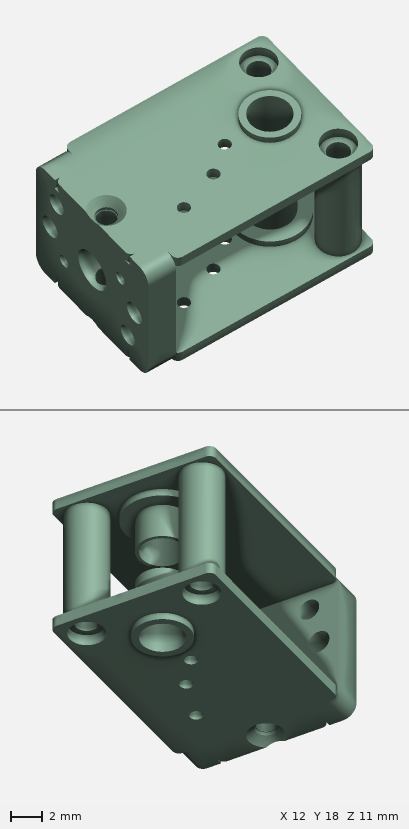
import cadquery as cq

length = 18.0
width = 12.0
height_over_collars = 11.0
plate_span = 10.0
plate_thickness = 0.8
corner_radius = 0.5

block_depth = 2.2
block_corner_radius = 1.0
tongue_width = 8.0

bore_diameter = 3.0
side_hole_diameter = 1.6
side_hole_x = 4.5
mount_hole_diameter = 1.5
mount_hole_x = 3.8
mount_hole_z = 2.8
dowel_hole_diameter = 0.9
dowel_hole_x = 3.0
dowel_hole_z = 1.96

screw_from_front = 1.12
plate_screw_diameter = 1.5
block_screw_diameter = 1.4
countersink_diameter = 2.6
countersink_angle = 90.0

pillar_diameter = 3.0
pillar_hole_diameter = 1.6
counterbore_diameter = 2.5
counterbore_depth = plate_thickness
pillar_x = 4.25
pillar_from_rear = 1.7

bushing_from_rear = 3.96
bushing_bore = 3.0
collar_diameter = 4.0
collar_height = (height_over_collars - plate_span) / 2
flange_diameter = 5.5
flange_thickness = 0.5
sleeve_diameter = 3.5
sleeve_gap = 2.5

axle_hole_diameter = 0.9
axle_holes = [(0, 7.52), (1.58, 9.6), (2.74, 12.78)]

front_y = -length / 2
rear_y = length / 2
block_rear_y = front_y + block_depth
top_z = plate_span / 2
inner_z = top_z - plate_thickness
screw_y = front_y + screw_from_front
bushing_y = rear_y - bushing_from_rear
pillar_y = rear_y - pillar_from_rear
pillar_points = [(-pillar_x, pillar_y), (pillar_x, pillar_y)]


def disc(points, diameter, low_z, high_z):
    """Vertical cylinders at the given XY points, between two heights."""
    base = cq.Workplane("XY", origin=(0, 0, low_z))
    return base.pushPoints(points).circle(diameter / 2).extrude(high_z - low_z)


def box(size_x, low_y, high_y, low_z, high_z):
    """Box centred on X = 0."""
    centre = (0, (low_y + high_y) / 2, (low_z + high_z) / 2)
    return cq.Workplane("XY").box(size_x, high_y - low_y, high_z - low_z).translate(centre)


def make_block():
    """Rounded front block with tongue pockets and its holes."""
    block = box(width, front_y, block_rear_y, -top_z, top_z).edges("|Y").fillet(block_corner_radius)
    for low_z in (-top_z, inner_z):
        block = block.cut(box(tongue_width, front_y, block_rear_y, low_z, low_z + plate_thickness))

    hole_groups = [
        (bore_diameter, [(0, 0)]),
        (side_hole_diameter, [(-side_hole_x, 0), (side_hole_x, 0)]),
        (mount_hole_diameter, [(-mount_hole_x, mount_hole_z), (mount_hole_x, -mount_hole_z)]),
        (dowel_hole_diameter, [(dowel_hole_x, dowel_hole_z), (-dowel_hole_x, -dowel_hole_z)]),
    ]
    for diameter, points in hole_groups:
        front_plane = cq.Workplane("XZ", origin=(0, front_y, 0))
        block = block.cut(front_plane.pushPoints(points).circle(diameter / 2).extrude(-block_depth))

    return block.cut(disc([(0, screw_y)], block_screw_diameter, -inner_z, inner_z))


def make_plate():
    """Top plate with its front tongue, bushing, and holes."""
    plate = box(width, block_rear_y, rear_y, inner_z, top_z).edges("|Z").fillet(corner_radius)
    tongue = box(tongue_width, front_y, block_rear_y + corner_radius, inner_z, top_z)
    plate = plate.union(tongue.edges("|Z and <Y").fillet(corner_radius))

    axle_points = [(x, rear_y - from_rear) for x, from_rear in axle_holes]
    plate = plate.cut(disc(axle_points, axle_hole_diameter, inner_z, top_z))
    plate = (
        plate.faces(">Z")
        .workplane(origin=(0, screw_y, top_z))
        .cskHole(plate_screw_diameter, countersink_diameter, countersink_angle)
    )

    bushing_point = [(0, bushing_y)]
    flange_z = inner_z - flange_thickness
    plate = (
        plate.union(disc(bushing_point, collar_diameter, inner_z, top_z + collar_height))
        .union(disc(bushing_point, flange_diameter, flange_z, inner_z))
        .union(disc(bushing_point, sleeve_diameter, sleeve_gap / 2, flange_z))
    )
    return plate.cut(disc(bushing_point, bushing_bore, sleeve_gap / 2, top_z + collar_height))


def make_cage():
    """Two mirrored plates joined by the rear pillars, with counterbored holes through them."""
    top_plate = make_plate()
    cage = top_plate.union(top_plate.mirror("XY"))
    cage = cage.union(disc(pillar_points, pillar_diameter, -inner_z, inner_z))
    cage = cage.cut(disc(pillar_points, pillar_hole_diameter, -top_z, top_z))
    cage = cage.cut(disc(pillar_points, counterbore_diameter, top_z - counterbore_depth, top_z))
    return cage.cut(disc(pillar_points, counterbore_diameter, -top_z, counterbore_depth - top_z))


block = make_block()
cage = make_cage()
result = cq.Compound.makeCompound([block.val(), *cage.vals()])